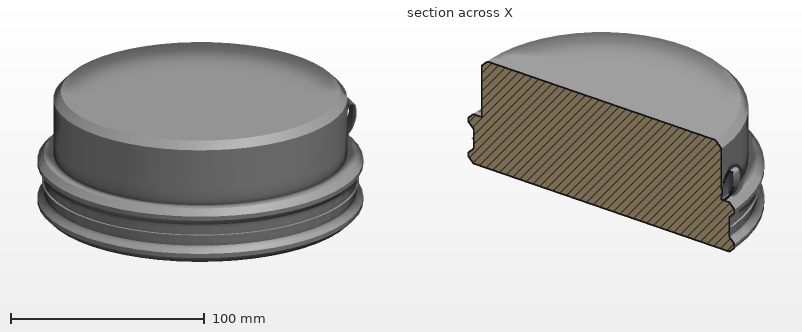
import cadquery as cq
TOTAL_HEIGHT = 63.57
BODY_DIAMETER = 151.8
TOP_CHAMFER = 3.9

BASE_HEIGHT = 29.5
CORE_DIAMETER = 161.8
FLANGE_DIAMETER = 168.4
FLANGE_RIM_HEIGHT = 2.35
FIN_DIAMETER = 164.0
FIN_THICKNESS = 0.5

STRAP_WIDTH = 9.6
STRAP_THICKNESS = 0.6
STRAP_LOWER_ROOT = (-0.9, -1.4)
STRAP_OUTER_MIDDLE = (2.39, 0.99)
STRAP_CREST_START = (7.41, 17.14)
STRAP_CREST_END = (4.21, 17.63)
STRAP_UPPER_ROOT = (0.02, 2.5)

body_radius = BODY_DIAMETER / 2
flange_bevel = (FLANGE_DIAMETER - CORE_DIAMETER) / 2
flange_height = FLANGE_RIM_HEIGHT + 2 * flange_bevel


def cylinder(diameter, bottom, height):
    return cq.Workplane("XY").workplane(offset=bottom).circle(diameter / 2).extrude(height)


def make_body():
    body = cylinder(BODY_DIAMETER, 0, TOTAL_HEIGHT)
    return body.faces(">Z").chamfer(TOP_CHAMFER)


def make_flange(bottom):
    flange = cylinder(FLANGE_DIAMETER, bottom, flange_height)
    return flange.faces("<Z or >Z").chamfer(flange_bevel)


def make_base():
    base = cylinder(CORE_DIAMETER, 0, BASE_HEIGHT)
    for bottom in (0, BASE_HEIGHT - flange_height):
        base = base.union(make_flange(bottom))
    fin_bottom = (BASE_HEIGHT - FIN_THICKNESS) / 2
    return base.union(cylinder(FIN_DIAMETER, fin_bottom, FIN_THICKNESS))


def strap_point(point):
    out, up = point
    return (body_radius + out, BASE_HEIGHT + up)


def make_strap():
    centreline = (
        cq.Workplane("YZ")
        .workplane(offset=-STRAP_WIDTH / 2)
        .moveTo(*strap_point(STRAP_LOWER_ROOT))
        .threePointArc(strap_point(STRAP_OUTER_MIDDLE), strap_point(STRAP_CREST_START))
        .tangentArcPoint(strap_point(STRAP_CREST_END), relative=False)
        .tangentArcPoint(strap_point(STRAP_UPPER_ROOT), relative=False)
        .wire()
    )
    return centreline.offset2D(STRAP_THICKNESS / 2).extrude(STRAP_WIDTH)


result = make_body().union(make_base()).union(make_strap())